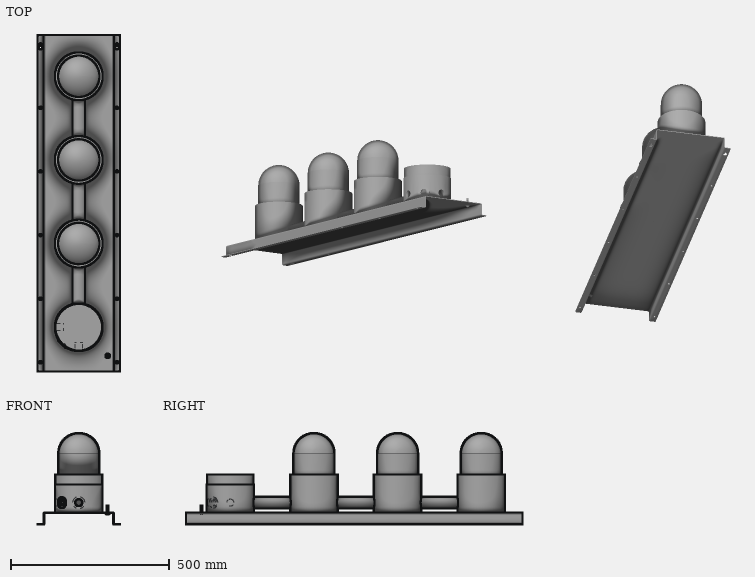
import cadquery as cq
import math

length = 1060.0
overall_width = 260.0
deck_width = 220.0
deck_height = 38.0
sheet = 2.0
bend_inner = 2.0
bend_outer = bend_inner + sheet
flange_corner_radius = 3.0

fixing_inset = 10.0
fixing_diameter = 6.0
fixing_end_margin = 30.0
fixing_count = 5
fixing_pitch = (length - 2 * fixing_end_margin) / fixing_count
keyhole_slot_width = 5.0
keyhole_head_diameter = 12.0
keyhole_length = 10.0

body_diameter = 150.0
body_height = 120.0
dome_diameter = 130.0
overall_height = 288.0
lamp_count = 3
first_lamp_y = length / 2 - 130.0
box_y = -length / 2 + 140.0
unit_pitch = (first_lamp_y - box_y) / lamp_count
cap_diameter = 147.0
cap_height = 32.0

port_height = deck_height + 31.0
pipe_diameter = 38.0
port_diameter = 22.0
port_depth = 26.0

gland_angle = 225
gland_diameter = 35.0
gland_face_radius = body_diameter / 2
gland_bore_diameter = 19.0
gland_bore_depth = 7.0

bolt_x = 91.0
bolt_y = -length / 2 + 50.0
bolt_diameter = 6.0
bolt_neck_diameter = 3.0
bolt_rise = 22.0
bolt_collar_height = 3.0
bolt_neck_height = 4.0
bolt_head_diameter = 14.0
bolt_head_height = 4.0


def cylinder_up(diameter, height, x, y, z):
    return cq.Workplane("XY").center(x, y).circle(diameter / 2).extrude(height).translate((0, 0, z))


def channel():
    half_flange = overall_width / 2
    half_deck = deck_width / 2
    half_inside = half_deck - sheet
    half = (
        cq.Workplane("XZ", origin=(0, length / 2, 0))
        .moveTo(0, deck_height)
        .lineTo(half_deck, deck_height)
        .lineTo(half_deck, sheet)
        .lineTo(half_flange, sheet)
        .lineTo(half_flange, 0)
        .lineTo(half_inside, 0)
        .lineTo(half_inside, deck_height - sheet)
        .lineTo(0, deck_height - sheet)
        .close()
        .extrude(length)
    )

    def bend(solid, x, z, radius):
        corner = cq.selectors.NearestToPointSelector((x, 0, z))
        return solid.edges("|Y").edges(corner).fillet(radius)

    half = bend(half, half_deck, deck_height, bend_outer)
    half = bend(half, half_inside, deck_height - sheet, bend_inner)
    half = bend(half, half_deck, sheet, bend_inner)
    half = bend(half, half_inside, 0, bend_outer)
    flange_corners = cq.selectors.BoxSelector(
        (half_flange - sheet, -length, -sheet), (half_flange + sheet, length, 2 * sheet)
    )
    half = half.edges("|Z").edges(flange_corners).fillet(flange_corner_radius)
    return half.union(half.mirror("YZ"))


def flange_cuts():
    fixing_x = overall_width / 2 - fixing_inset
    start_y = -length / 2 + fixing_end_margin
    keyhole_y = length / 2 - fixing_end_margin
    head_y = keyhole_y - keyhole_length
    cuts = cq.Workplane("XY")
    for x in (-fixing_x, fixing_x):
        for i in range(fixing_count):
            cuts = cuts.add(cylinder_up(fixing_diameter, sheet, x, start_y + i * fixing_pitch, 0))
        slot = cq.Workplane("XY").center(x, (keyhole_y + head_y) / 2)
        slot = slot.slot2D(keyhole_length + keyhole_slot_width, keyhole_slot_width, 90).extrude(sheet)
        cuts = cuts.add(slot).add(cylinder_up(keyhole_head_diameter, sheet, x, head_y, 0))
    return cuts.combine()


def lamp(y):
    dome_radius = dome_diameter / 2
    body = cylinder_up(body_diameter, body_height, 0, y, deck_height)
    tangent_height = overall_height - dome_radius
    body_top = deck_height + body_height
    glass = cylinder_up(dome_diameter, tangent_height - body_top, 0, y, body_top)
    dome = cq.Workplane("XY").sphere(dome_radius).translate((0, y, tangent_height))
    return body.union(glass).union(dome)


def radial_rod(diameter, start, end, angle):
    """Rod pointing away from the box axis at port height, between two distances from the axis."""
    heading = cq.Vector(math.cos(math.radians(angle)), math.sin(math.radians(angle)), 0)
    origin = cq.Vector(0, box_y, port_height) + heading * start
    return cq.Workplane(cq.Solid.makeCylinder(diameter / 2, end - start, origin, heading))


def junction_box():
    rim_height = body_height - cap_height
    box = cylinder_up(body_diameter, rim_height, 0, box_y, deck_height)
    box = box.union(cylinder_up(cap_diameter, cap_height, 0, box_y, deck_height + rim_height))
    for angle in (180, 270):
        box = box.cut(radial_rod(port_diameter, body_diameter / 2 - port_depth, body_diameter, angle))
    bore_floor = gland_face_radius - gland_bore_depth
    box = box.union(radial_rod(gland_diameter, 0, gland_face_radius, gland_angle))
    return box.cut(radial_rod(gland_bore_diameter, bore_floor, body_diameter, gland_angle))


def earthing_bolt():
    radius = bolt_diameter / 2
    neck_radius = bolt_neck_diameter / 2
    head_top = deck_height - sheet
    collar_top = deck_height + bolt_collar_height
    neck_top = collar_top + bolt_neck_height
    bolt_top = deck_height + bolt_rise
    half_section = [
        (0, head_top - bolt_head_height),
        (radius, head_top - bolt_head_height),
        (bolt_head_diameter / 2, head_top),
        (radius, head_top),
        (radius, collar_top),
        (neck_radius, collar_top),
        (neck_radius, neck_top),
        (radius, neck_top),
        (radius, bolt_top),
        (0, bolt_top),
    ]
    bolt = cq.Workplane("XZ").polyline(half_section).close().revolve(360, (0, 0, 0), (0, 1, 0))
    return bolt.translate((bolt_x, bolt_y, 0))


conduit = (
    cq.Workplane("XZ", origin=(0, first_lamp_y, port_height))
    .circle(pipe_diameter / 2)
    .extrude(first_lamp_y - box_y)
)

result = channel().cut(flange_cuts()).union(conduit)
for i in range(lamp_count):
    result = result.union(lamp(first_lamp_y - i * unit_pitch))
result = result.union(junction_box()).union(earthing_bolt())